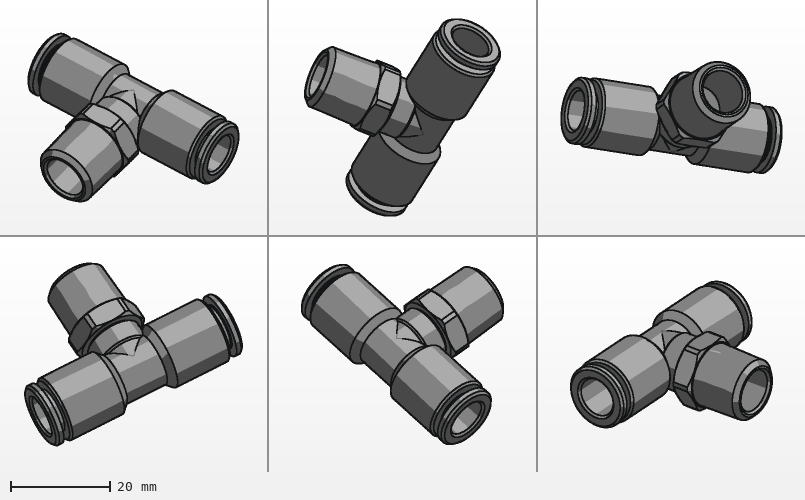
import cadquery as cq
import math

overall_depth = 31.0
overall_height = 14.0

half_length = 21.7
bore_radius = 4.1
mouth_chamfer = 0.48

collar_radius = 6.73
collar_chamfer = 0.5
collar_thickness = 1.55
collar_neck_radius = 4.65
collar_neck_chamfer = 0.2

socket_radius = overall_height / 2
socket_chamfer = 0.48
collar_exposed_length = 3.0
socket_end = half_length - collar_exposed_length
waist_radius = 5.55
waist_half_length = 4.65
shoulder_end = 6.2

boss_radius = 5.95
boss_step = 0.4
boss_step_start = 3.7
boss_chamfer = 0.48

hex_start = 8.55
hex_end = 13.0
hex_across_flats = overall_height
hex_corner_radius = 7.8
hex_chamfer_radius = 6.95
hex_chamfer_angle = 30.0

thread_radius = 6.7
thread_small_radius = 6.45
thread_end = overall_depth - socket_radius
thread_chamfer = 1.05

nose_start = 0.82
nose_tip_radius = 3.12
nose_middle = 1.2
nose_middle_radius = 3.55
stem_radius = 3.78
stem_start = 2.13
floor_start = 2.55

stem_bore_radius = 4.43
stem_bore_chamfer = 0.5
stem_hole_radius = 2.75
stem_bore_tip_angle = 118.0
stem_bore_bottom = hex_end


def revolve_about_x(outline):
    """Revolve (x, radius) points about the X axis."""
    return cq.Workplane("XY").polyline(outline).close().revolve(360, (0, 0, 0), (1, 0, 0))


def revolve_about_branch(outline):
    """Revolve (radius, distance towards -Y) points about the Y axis."""
    points = [(radius, -distance) for radius, distance in outline]
    return cq.Workplane("XY").polyline(points).close().revolve(360, (0, 0, 0), (0, 1, 0))


def make_run():
    collar_back = half_length - collar_thickness
    right_side = [
        (waist_half_length, waist_radius),
        (shoulder_end, socket_radius),
        (socket_end - socket_chamfer, socket_radius),
        (socket_end, socket_radius - socket_chamfer),
        (socket_end, collar_neck_radius),
        (collar_back - collar_neck_chamfer, collar_neck_radius),
        (collar_back, collar_neck_radius + collar_neck_chamfer),
        (collar_back, collar_radius),
        (half_length - collar_chamfer, collar_radius),
        (half_length, collar_radius - collar_chamfer),
        (half_length, 0),
    ]
    left_side = [(-x, radius) for x, radius in reversed(right_side)]
    return revolve_about_x(left_side + right_side)


def make_run_bore():
    right_side = [
        (half_length - mouth_chamfer, bore_radius),
        (half_length, bore_radius + mouth_chamfer),
        (half_length, 0),
    ]
    left_side = [(-x, radius) for x, radius in reversed(right_side)]
    return revolve_about_x(left_side + right_side)


def make_boss():
    return revolve_about_branch([
        (0, 0),
        (boss_radius - boss_step, 0),
        (boss_radius - boss_step, boss_step_start),
        (boss_radius, boss_step_start + boss_step),
        (boss_radius, hex_start - boss_chamfer),
        (boss_radius - boss_chamfer, hex_start),
        (0, hex_start),
    ])


def make_hexagon():
    corner_diameter = hex_across_flats / math.cos(math.pi / 6)
    prism = (
        cq.Workplane("XZ")
        .workplane(offset=hex_start)
        .polygon(6, corner_diameter)
        .extrude(hex_end - hex_start)
    )
    chamfer_radial = hex_corner_radius - hex_chamfer_radius
    chamfer_axial = chamfer_radial * math.tan(math.radians(hex_chamfer_angle))
    turned_blank = revolve_about_branch([
        (0, hex_start),
        (hex_chamfer_radius, hex_start),
        (hex_corner_radius, hex_start + chamfer_axial),
        (hex_corner_radius, hex_end - chamfer_axial),
        (hex_chamfer_radius, hex_end),
        (0, hex_end),
    ])
    return prism.intersect(turned_blank)


def make_thread():
    chamfer_start = thread_end - thread_chamfer
    return revolve_about_branch([
        (0, hex_end),
        (thread_radius, hex_end),
        (thread_small_radius, chamfer_start),
        (thread_small_radius - thread_chamfer, thread_end),
        (0, thread_end),
    ])


def make_nose():
    """Tip rounded by one arc that runs out to the cylindrical stem."""
    return (
        cq.Workplane("XY")
        .moveTo(0, -nose_start)
        .lineTo(nose_tip_radius, -nose_start)
        .threePointArc((nose_middle_radius, -nose_middle), (stem_radius, -stem_start))
        .lineTo(stem_radius, -hex_start)
        .lineTo(0, -hex_start)
        .close()
        .revolve(360, (0, 0, 0), (0, 1, 0))
    )


def make_floor():
    """Fill the bottom of the run bore around the nose, across the waist."""
    depth = waist_radius - floor_start
    block = (
        cq.Workplane("XY")
        .box(2 * waist_half_length, depth, 2 * waist_radius, centered=(True, False, True))
        .translate((0, -waist_radius, 0))
    )
    limit = cq.Workplane("YZ").circle(waist_radius).extrude(waist_half_length, both=True)
    return block.intersect(limit)


def make_branch_bore():
    half_tip_angle = math.radians(stem_bore_tip_angle / 2)
    cone_depth = (stem_bore_radius - stem_hole_radius) / math.tan(half_tip_angle)
    return revolve_about_branch([
        (0, nose_start),
        (stem_hole_radius, nose_start),
        (stem_hole_radius, stem_bore_bottom - cone_depth),
        (stem_bore_radius, stem_bore_bottom),
        (stem_bore_radius, thread_end - stem_bore_chamfer),
        (stem_bore_radius + stem_bore_chamfer, thread_end),
        (0, thread_end),
    ])


body = make_run().union(make_boss()).cut(make_run_bore())
stem = make_hexagon().union(make_thread()).union(make_nose())
result = body.union(make_floor()).union(stem).cut(make_branch_bore())